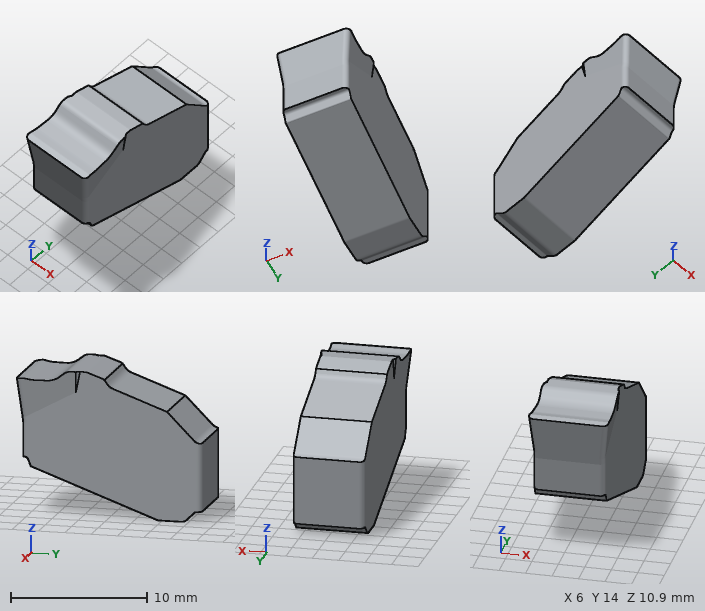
import cadquery as cq

length = 14.02
height = 10.9
body_half_width = 2.69
flare_blank_half_width = 3.5
corner_radius = 0.39

edge_height = 10.15
front_setback = 0.4
clearance_bottom = 6.77
front_bottom = 4.2

rear_bottom = 0.8
rear_top = 5.97

flare_corner = cq.Vector(body_half_width, 4.5, 9.32)
flare_front = cq.Vector(body_half_width, 0.76, 7.29)
flare_rear_body = cq.Vector(body_half_width, 4.82, height)
flare_rear_outer = cq.Vector(2.85, 4.53, height)

side_rise = 0.31
flare_tip_setback = 0.42
flare_tip_height = 10.23

half_space_size = 56.08


def make_profile():
    """Side outline in the YZ plane, from the cutting edge rearwards over the top."""
    return (
        cq.Workplane("YZ")
        .moveTo(0, edge_height)
        .lineTo(0.52, 10.23)
        .lineTo(0.59, 10.23)
        .lineTo(0.97, 10.16)
        .threePointArc((1.14, 10.14), (1.3, 10.12))
        .lineTo(2.33, 10.12)
        .threePointArc((2.89, 10.22), (3.38, 10.52))
        .lineTo(3.67, 10.74)
        .threePointArc((3.9, 10.85), (4.18, height))
        .lineTo(5.27, height)
        .lineTo(5.37, 10.87)
        .lineTo(6.55, 10.46)
        .lineTo(6.67, 10.37)
        .lineTo(6.88, 10.08)
        .tangentArcPoint((7.33, 9.75), relative=False)
        .lineTo(11.43, 8.26)
        .lineTo(13.49, 6.18)
        .threePointArc((13.73, 6.03), (length, rear_top))
        .lineTo(length, rear_bottom)
        .lineTo(13.63, rear_bottom)
        .threePointArc((13.56, 0.79), (13.49, 0.73))
        .lineTo(12.93, 0.18)
        .threePointArc((12.76, 0.05), (12.52, 0))
        .lineTo(10.8, 0)
        .threePointArc((10.71, 0.01), (10.63, 0.04))
        .lineTo(1.16, 3.49)
        .threePointArc((1.1, 3.52), (1.05, 3.59))
        .lineTo(0.87, 4.05)
        .tangentArcPoint((0.62, front_bottom), relative=False)
        .lineTo(front_setback, front_bottom)
        .lineTo(front_setback, clearance_bottom)
        .close()
    )


def make_slab(half_width):
    return make_profile().extrude(2 * half_width).translate((-half_width, 0, 0))


def half_space(point_a, point_b, point_c):
    """Large block on the side of the plane through three points that holds the part's middle."""
    normal = (point_b - point_a).cross(point_c - point_a)
    if normal.x < 0:
        normal = -normal
    plane = cq.Plane(origin=point_a, xDir=point_b - point_a, normal=normal)
    return cq.Workplane(plane).rect(half_space_size, half_space_size).extrude(-half_space_size)


def make_flares():
    """Widened front portion with both sides leaning outwards towards the cutting edge."""
    flare_tip = cq.Vector(body_half_width + side_rise, flare_tip_setback, flare_tip_height)
    lean_side = half_space(flare_corner, flare_front, flare_tip)
    rear_side = half_space(flare_corner, flare_rear_body, flare_rear_outer)
    flares = make_slab(flare_blank_half_width)
    for side in (lean_side, rear_side):
        flares = flares.intersect(side).intersect(side.mirror("YZ"))
    return flares


def round_corners(part):
    """Round the upright corners at the front, along the flare as well, and at the rear."""
    part = part.edges(cq.selectors.BoxSelector(
        (-half_space_size, length - 0.14, rear_bottom + 0.14),
        (half_space_size, length + 0.14, rear_top - 0.14),
    )).edges("|Z").fillet(corner_radius)
    front_edges = part.edges(cq.selectors.BoxSelector(
        (-half_space_size, -0.14, front_bottom + 0.14),
        (half_space_size, front_setback + 0.14, edge_height - 0.14),
    )).edges("not |X")
    return front_edges.fillet(corner_radius)


result = round_corners(make_slab(body_half_width).union(make_flares()))